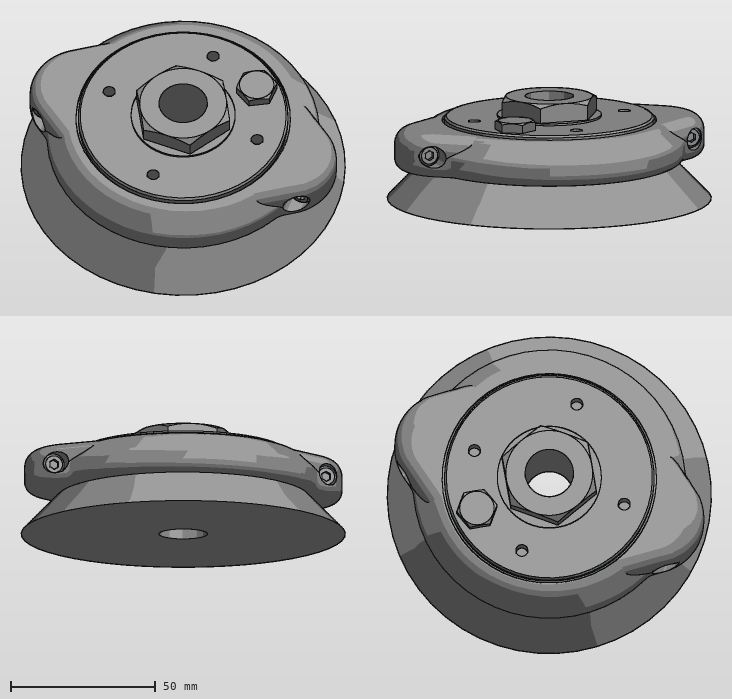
import cadquery as cq
import math

SKIRT_RADIUS = 56.0
SKIRT_TOP_RADIUS = 43.7
SKIRT_HEIGHT = 12.7

HOUSING_RADIUS = 47.0
HOUSING_TOP = 27.5
LOWER_ROUND = 4.0
SHOULDER_ROUND = 2.8
TOP_ROUND = 5.8
SHOULDER_BREAK_HEIGHT = 20.6

LOBE_RADIUS = 18.4
LOBE_OFFSET = 37.3
FLANK_ANGLE = 36.0
FLANK_LENGTH = 24.6
NECK_ROUND = 6.7

PLATE_DIAMETER = 72.5
RECESS_DIAMETER = 74.0
RECESS_DEPTH = 1.1
PLATE_TOP = 28.9
PLATE_CHAMFER = 0.7
PLATE_HOLE_DIAMETER = 4.1
PLATE_HOLE_DEPTH = 5.6
PLATE_HOLE_CIRCLE_RADIUS = 27.5
PLATE_HOLE_COUNT = 4

WASHER_DIAMETER = 36.0
WASHER_TOP = 29.6
NUT_FLATS = 30.0
NUT_TOP = 36.0
BORE_DIAMETER = 16.7

PLUG_FLATS = 12.3
PLUG_CROWN_DIAMETER = 11.9
PLUG_TOP = 32.3
PLUG_OFFSET = 19.5
HEXAGON_SIDES = 6
CROWN_ANGLE = 30.0

SCREW_DIAMETER = 7.5
SCREW_OFFSET = 48.0
SCREW_HEIGHT = 20.2
SCREW_FACE = 11.3
SCREW_CHAMFER = 0.8
POCKET_LENGTH = 13.4
SOCKET_FLATS = 3.0
SOCKET_DEPTH = 1.7


def hexagon_corner_diameter(flats):
    return flats / math.cos(math.pi / 6)


def disc(diameter, bottom, top):
    return cq.Workplane("XY").workplane(offset=bottom).circle(diameter / 2).extrude(top - bottom)


def make_skirt():
    outline = [(0, 0), (SKIRT_RADIUS, 0), (SKIRT_TOP_RADIUS, SKIRT_HEIGHT), (0, SKIRT_HEIGHT)]
    return cq.Workplane("XZ").polyline(outline).close().revolve(360, (0, 0, 0), (0, 1, 0))


def turn_edge_profile(radius, inward):
    """Turn a disc as thick as the housing, whose rim has the housing's edge profile.

    With inward = -1 the profile narrows the disc, which gives the housing itself.
    With inward = 1 it widens the disc, which gives the matching cutter for a concave neck.
    """
    tangent_ratio = math.tan(math.pi / 8)
    diagonal = math.sqrt(0.5)
    shoulder_setback = SHOULDER_ROUND * tangent_ratio
    top_setback = TOP_ROUND * tangent_ratio
    shoulder_depth = HOUSING_TOP - SHOULDER_BREAK_HEIGHT

    def at(inset, height):
        return radius + inward * inset, height

    shoulder_end = shoulder_setback * diagonal
    top_start = top_setback * diagonal
    return (
        cq.Workplane("XZ")
        .moveTo(0, SKIRT_HEIGHT)
        .lineTo(*at(LOWER_ROUND, SKIRT_HEIGHT))
        .radiusArc(at(0, SKIRT_HEIGHT + LOWER_ROUND), inward * LOWER_ROUND)
        .lineTo(*at(0, SHOULDER_BREAK_HEIGHT - shoulder_setback))
        .radiusArc(at(shoulder_end, SHOULDER_BREAK_HEIGHT + shoulder_end), inward * SHOULDER_ROUND)
        .lineTo(*at(shoulder_depth - top_start, HOUSING_TOP - top_start))
        .radiusArc(at(shoulder_depth + top_setback, HOUSING_TOP), inward * TOP_ROUND)
        .lineTo(0, HOUSING_TOP)
        .close()
        .revolve(360, (0, 0, 0), (0, 1, 0))
    )


def make_lobe():
    """Lobe on the +X side: a round nose with two tangent flanks running into the housing."""
    angle = math.radians(FLANK_ANGLE)
    nose_x = LOBE_OFFSET + LOBE_RADIUS * math.sin(angle)
    nose_y = LOBE_RADIUS * math.cos(angle)
    inner_x = nose_x - FLANK_LENGTH * math.cos(angle)
    inner_y = nose_y + FLANK_LENGTH * math.sin(angle)
    return (
        cq.Workplane("XY")
        .workplane(offset=SKIRT_HEIGHT)
        .moveTo(inner_x, inner_y)
        .lineTo(nose_x, nose_y)
        .threePointArc((LOBE_OFFSET + LOBE_RADIUS, 0), (nose_x, -nose_y))
        .lineTo(inner_x, -inner_y)
        .close()
        .extrude(HOUSING_TOP - SKIRT_HEIGHT)
        .faces(">Z")
        .edges("not <X")
        .fillet(TOP_ROUND)
        .faces("<Z")
        .edges("not <X")
        .fillet(LOWER_ROUND)
    )


def make_neck():
    """Concave blend between the +Y flank of the +X lobe and the round housing."""
    angle = math.radians(FLANK_ANGLE)
    normal_x, normal_y = math.sin(angle), math.cos(angle)
    normal_distance = LOBE_OFFSET * normal_x + LOBE_RADIUS + NECK_ROUND
    run = math.sqrt((HOUSING_RADIUS + NECK_ROUND) ** 2 - normal_distance ** 2)
    axis_x = normal_distance * normal_x + run * normal_y
    axis_y = normal_distance * normal_y - run * normal_x
    block = (
        cq.Workplane("XY")
        .workplane(offset=SKIRT_HEIGHT)
        .moveTo(axis_x, axis_y)
        .lineTo(0, 0)
        .lineTo(run * normal_y, -run * normal_x)
        .close()
        .extrude(HOUSING_TOP - SKIRT_HEIGHT)
    )
    return block.cut(turn_edge_profile(NECK_ROUND, 1).translate((axis_x, axis_y, 0)))


def make_housing():
    lobe = make_lobe().union(make_neck()).union(make_neck().mirror("XZ"))
    housing = turn_edge_profile(HOUSING_RADIUS, -1)
    return housing.union(lobe).union(lobe.mirror("YZ"))


def make_crowned_hexagon(flats, crown_diameter, bottom, top):
    """Upright hexagon, corners on X, with a conical chamfer on its upper corners."""
    corner_diameter = hexagon_corner_diameter(flats)
    crown_drop = (corner_diameter - crown_diameter) / 2 * math.tan(math.radians(CROWN_ANGLE))
    base = cq.Workplane("XY").workplane(offset=bottom)
    hexagon = base.polygon(HEXAGON_SIDES, corner_diameter).extrude(top - bottom)
    envelope = (
        cq.Workplane("XZ")
        .moveTo(0, bottom)
        .lineTo(corner_diameter / 2, bottom)
        .lineTo(corner_diameter / 2, top - crown_drop)
        .lineTo(crown_diameter / 2, top)
        .lineTo(0, top)
        .close()
        .revolve(360, (0, 0, 0), (0, 1, 0))
    )
    return hexagon.intersect(envelope)


def add_cover_plate(body):
    """Chamfered plate standing in a slightly wider recess, with blind holes on a circle."""
    recess_floor = HOUSING_TOP - RECESS_DEPTH
    plate = disc(PLATE_DIAMETER, recess_floor, PLATE_TOP).faces(">Z").chamfer(PLATE_CHAMFER)
    holes = (
        cq.Workplane("XY")
        .workplane(offset=PLATE_TOP)
        .polarArray(PLATE_HOLE_CIRCLE_RADIUS, 0, 360, PLATE_HOLE_COUNT)
        .circle(PLATE_HOLE_DIAMETER / 2)
        .extrude(-PLATE_HOLE_DEPTH)
    )
    return body.cut(disc(RECESS_DIAMETER, recess_floor, HOUSING_TOP)).union(plate).cut(holes)


def add_connector(body):
    """Central nut on a washer with a bore through the whole part."""
    washer = disc(WASHER_DIAMETER, PLATE_TOP, WASHER_TOP)
    nut = make_crowned_hexagon(NUT_FLATS, NUT_FLATS, WASHER_TOP, NUT_TOP)
    return body.union(washer).union(nut).cut(disc(BORE_DIAMETER, 0, NUT_TOP))


def add_plug(body):
    plug = make_crowned_hexagon(PLUG_FLATS, PLUG_CROWN_DIAMETER, PLATE_TOP, PLUG_TOP)
    plug = plug.rotate((0, 0, 0), (0, 0, 1), 90)
    return body.union(plug.translate((PLUG_OFFSET, PLUG_OFFSET, 0)))


def add_screws(body):
    """Socket screws sunk in round pockets, one in each flank of both lobes."""
    head_seat = SCREW_FACE - SCREW_CHAMFER
    socket_diameter = hexagon_corner_diameter(SOCKET_FLATS)
    for side_x in (-1, 1):
        for side_y in (-1, 1):
            seat_centre = (side_x * SCREW_OFFSET, side_y * head_seat, SCREW_HEIGHT)
            seat = cq.Workplane(cq.Plane(seat_centre, xDir=(0, 0, 1), normal=(0, side_y, 0)))
            pocket = seat.circle(SCREW_DIAMETER / 2).extrude(POCKET_LENGTH)
            head = seat.circle(SCREW_DIAMETER / 2).extrude(SCREW_CHAMFER, taper=45)
            socket = seat.workplane(offset=SCREW_CHAMFER).polygon(HEXAGON_SIDES, socket_diameter)
            socket = socket.extrude(-SOCKET_DEPTH)
            body = body.cut(pocket).union(head).cut(socket)
    return body


result = make_housing().union(make_skirt())
result = add_cover_plate(result)
result = add_connector(result)
result = add_plug(result)
result = add_screws(result)